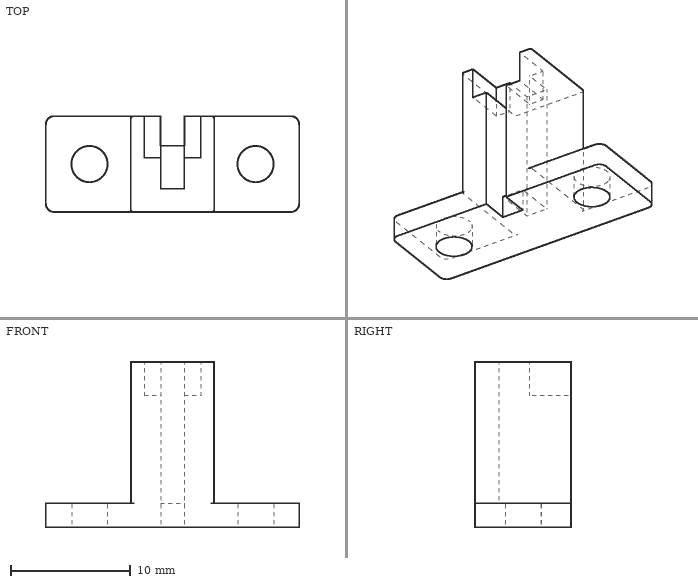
import cadquery as cq

base_length = 21.25
depth = 8.05
base_height = 2.05
base_corner_radius = 0.7
hole_diameter = 3.02
hole_spacing = 13.93

total_height = 13.88
tower_width = 7.0
tower_corner_radius = 0.23

pocket_width = 4.7
pocket_reach = 3.5
pocket_depth = 2.8
slot_width = 2.0
slot_reach = 6.08
base_notch_reach = 2.49

back_y = depth / 2


def rounded_block(width, height, corner_radius):
    """Full-depth block standing on Z = 0 with rounded vertical edges."""
    block = cq.Workplane("XY").box(width, depth, height, centered=(True, True, False))
    return block.edges("|Z").fillet(corner_radius)


def back_cutter(width, reach, bottom, top):
    """Block reaching forward from the back face between two heights."""
    cutter = cq.Workplane("XY").box(width, reach, top - bottom, centered=(True, False, False))
    return cutter.translate((0, back_y - reach, bottom))


base = rounded_block(base_length, base_height, base_corner_radius)
tower = rounded_block(tower_width, total_height, tower_corner_radius)
body = base.union(tower)

hole_centers = [(-hole_spacing / 2, 0), (hole_spacing / 2, 0)]
holes = cq.Workplane("XY").pushPoints(hole_centers).circle(hole_diameter / 2).extrude(base_height)

pocket = back_cutter(pocket_width, pocket_reach, total_height - pocket_depth, total_height)
slot = back_cutter(slot_width, slot_reach, base_height, total_height)
base_notch = back_cutter(slot_width, base_notch_reach, 0, base_height)

result = body.cut(holes).cut(pocket).cut(slot).cut(base_notch)